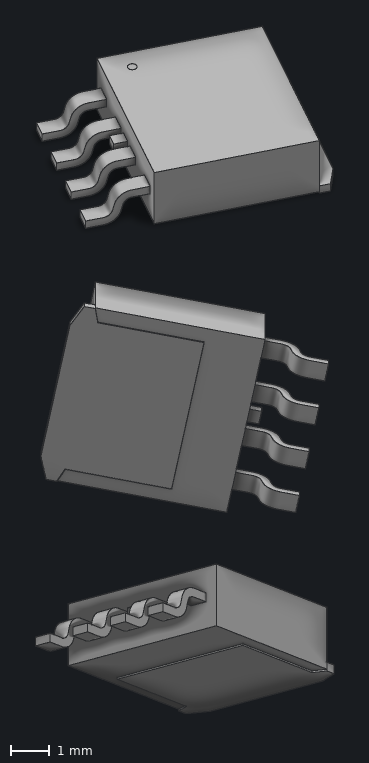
import cadquery as cq
import math

total_length = 6.81

housing_width = 5.0
housing_length = 4.5
housing_height = 1.7

tab_thickness = 0.245
tab_drop = 0.05
tab_overhang = 0.55
tab_corner_x = 0.6
tab_corner_y = 0.26
tab_neck_x = 0.38
tab_neck_y = 0.14
tab_cover = 2.96

lead_count = 4
lead_pitch = 1.27
lead_width = 0.5
lead_thickness = 0.245
lead_top = 0.98
lead_reach = total_length - housing_length - tab_overhang
lead_shoulder = 0.5
bend_inner_radius = 0.25
bend_outer_radius = bend_inner_radius + lead_thickness
bend_angle = 75

stub_width = 0.37
stub_height = 0.265
stub_reach = 0.38

marker_diameter = 0.25
marker_depth = 0.05
marker_x = -housing_width / 2 + 0.61
marker_y = 0.77


def make_tab():
    """Flat plate with bevelled rear corners and a narrower part under the housing."""
    half_width = housing_width / 2
    half_neck = half_width - tab_neck_x
    half_rear = half_width - tab_corner_x
    rear_y = housing_length + tab_overhang
    front_y = housing_length - tab_cover
    return (
        cq.Workplane("XY", origin=(0, 0, -tab_drop))
        .moveTo(-half_neck, front_y)
        .lineTo(half_neck, front_y)
        .lineTo(half_neck, housing_length - tab_neck_y)
        .lineTo(half_width, housing_length)
        .lineTo(half_width, rear_y - tab_corner_y)
        .lineTo(half_rear, rear_y)
        .lineTo(-half_rear, rear_y)
        .lineTo(-half_width, rear_y - tab_corner_y)
        .lineTo(-half_width, housing_length)
        .lineTo(-half_neck, housing_length - tab_neck_y)
        .close()
        .extrude(tab_thickness)
    )


def make_marker():
    """Disc set into the top face of the housing."""
    return (
        cq.Workplane("XY", origin=(marker_x, marker_y, housing_height - marker_depth))
        .circle(marker_diameter / 2)
        .extrude(marker_depth)
    )


def make_housing(tab, marker):
    """Plain block with matching recesses for the tab and the marker."""
    block = cq.Workplane("XY").box(
        housing_width, housing_length, housing_height, centered=(True, False, False)
    )
    return block.cut(tab).cut(marker)


def make_lead(x):
    """S-shaped strip: shoulder, downward bend, sloping leg, upward bend and foot."""
    angle = math.radians(bend_angle)
    bend_drop = (bend_inner_radius + bend_outer_radius) * (1 - math.cos(angle))
    leg_run = (lead_top - lead_thickness - bend_drop) / math.tan(angle)
    bend_run = (bend_inner_radius + bend_outer_radius) * math.sin(angle)
    upper_y = -lead_shoulder
    upper_z = lead_top - bend_outer_radius
    lower_y = upper_y - bend_run - leg_run
    lower_z = bend_outer_radius

    def upper_bend(radius, turn):
        return (upper_y - radius * math.sin(turn), upper_z + radius * math.cos(turn))

    def lower_bend(radius, turn):
        return (lower_y + radius * math.sin(turn), lower_z - radius * math.cos(turn))

    profile = (
        cq.Workplane("YZ", origin=(x - lead_width / 2, 0, 0))
        .moveTo(0, lead_top)
        .lineTo(upper_y, lead_top)
        .threePointArc(upper_bend(bend_outer_radius, angle / 2), upper_bend(bend_outer_radius, angle))
        .lineTo(*lower_bend(bend_inner_radius, angle))
        .threePointArc(lower_bend(bend_inner_radius, angle / 2), lower_bend(bend_inner_radius, 0))
        .lineTo(-lead_reach, lead_thickness)
        .lineTo(-lead_reach, 0)
        .lineTo(lower_y, 0)
        .threePointArc(lower_bend(bend_outer_radius, angle / 2), lower_bend(bend_outer_radius, angle))
        .lineTo(*upper_bend(bend_inner_radius, angle))
        .threePointArc(upper_bend(bend_inner_radius, angle / 2), upper_bend(bend_inner_radius, 0))
        .lineTo(0, lead_top - lead_thickness)
        .close()
    )
    return profile.extrude(lead_width)


def make_stub():
    """Short block on the front face, level with the tops of the leads."""
    return cq.Workplane("XY").box(
        stub_width, stub_reach, stub_height, centered=(True, False, False)
    ).translate((0, -stub_reach, lead_top - stub_height))


tab = make_tab()
marker = make_marker()
housing = make_housing(tab, marker)
stub = make_stub()

leads = []
for index in range(lead_count):
    lead_x = (index - (lead_count - 1) / 2) * lead_pitch
    leads.append(make_lead(lead_x).val())

result = cq.Compound.makeCompound([housing.val(), tab.val(), marker.val(), stub.val(), *leads])